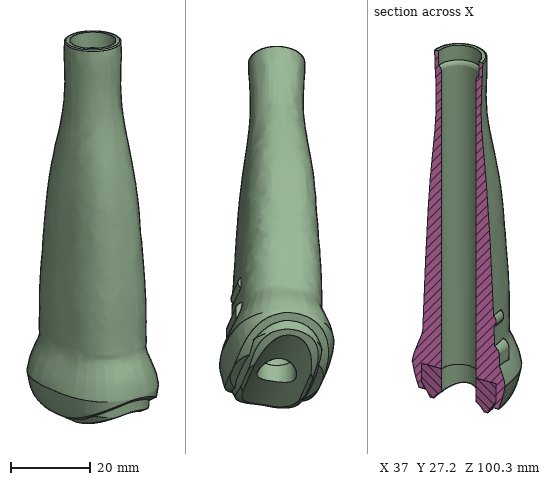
import cadquery as cq
import math

TOTAL_HEIGHT = 100.3
SHANK_BOTTOM = 20.5
WIDEST_LEVEL = 9.0
SKIRT_BOTTOM = 1.9

NECK_EXPONENT = 2.0
SHANK_EXPONENT = 2.8
BULB_EXPONENT = 2.45
POINTS_PER_QUARTER = 8

BULB_HALF_WIDTH = 18.5
BULB_HALF_DEPTH = 13.6
NECK_RADIUS = 7.1
SHANK_BOTTOM_SECTION = (SHANK_BOTTOM, 15.3, 10.5, 2.6)
WIDEST_SECTION = (WIDEST_LEVEL, BULB_HALF_WIDTH, BULB_HALF_DEPTH, BULB_EXPONENT)
SHANK_SECTIONS = [
    SHANK_BOTTOM_SECTION,
    (30.1, 15.0, 10.2, SHANK_EXPONENT),
    (40.1, 14.4, 9.7, SHANK_EXPONENT),
    (50.2, 13.5, 9.2, SHANK_EXPONENT),
    (60.2, 12.3, 8.6, SHANK_EXPONENT),
    (73.2, 9.8, 7.4, 2.5),
    (86.3, 7.6, 6.6, 2.1),
    (TOTAL_HEIGHT, NECK_RADIUS, NECK_RADIUS, NECK_EXPONENT),
]
BULB_SECTIONS = [
    WIDEST_SECTION,
    (12.0, 18.1, 12.9, BULB_EXPONENT),
    (16.1, 16.6, 11.3, BULB_EXPONENT),
    (18.1, 15.7, 10.7, BULB_EXPONENT),
    SHANK_BOTTOM_SECTION,
]
SKIRT_BOTTOM_HALF_DEPTH = 11.6
SKIRT_SECTIONS = [
    (SKIRT_BOTTOM, 16.7, SKIRT_BOTTOM_HALF_DEPTH, BULB_EXPONENT),
    (5.0, 17.9, 12.7, BULB_EXPONENT),
    WIDEST_SECTION,
]

SADDLE_AXIS_LEVEL = -4.8
HOUSING_RIM_RADIUS = 13.4
HOUSING_RIM_HALF_WIDTH = 18.3
LINER_RIM_RADIUS = 9.6
LINER_SADDLE_RADIUS = 8.8

LINER_TOP = WIDEST_LEVEL
LINER_SHOULDER = 4.0
LINER_HALF_WIDTH = 16.8
LINER_HALF_DEPTH = 10.8
LINER_TIP_HALF_DEPTH = 8.4
LINER_SHOULDER_SECTION = (LINER_SHOULDER, LINER_HALF_WIDTH, LINER_HALF_DEPTH, BULB_EXPONENT)
LINER_TIP_SECTION = (0.0, LINER_HALF_WIDTH, LINER_TIP_HALF_DEPTH, BULB_EXPONENT)

BORE_RADIUS = 5.0
SOCKET_RADIUS = 5.8
SOCKET_DEPTH = 4.2
LEAD_IN_LENGTH = 2.0
NECK_CHAMFER = 0.3

GRIP_ROOT = 9.0
STOP_HALF_WIDTH = 4.7
STOP_BOTTOM = 14.0
STOP_TOP = 20.1
STOP_REACH = 11.9
STOP_SHOULDER = 17.9
RIDGE_HALF_WIDTH = 3.6
RIDGE_BOTTOM = 24.5
RIDGE_TOP = 29.1
RIDGE_REACH = 11.0


def superellipse_point(half_width, half_depth, exponent, angle):
    c = math.cos(angle)
    s = math.sin(angle)
    x = half_width * math.copysign(abs(c) ** (2 / exponent), c)
    y = half_depth * math.copysign(abs(s) ** (2 / exponent), s)
    return x, y


def quartered_wire(level, point_at):
    """Closed wire of four splines, one per quarter, square to the X and Y axes."""
    quarter = math.pi / 2
    edges = []
    for q in range(4):
        angles = [quarter * (q + i / POINTS_PER_QUARTER) for i in range(POINTS_PER_QUARTER + 1)]
        points = [cq.Vector(*point_at(angle), level) for angle in angles]
        tangents = [cq.Vector(-round(math.sin(a)), round(math.cos(a)), 0) for a in (angles[0], angles[-1])]
        edges.append(cq.Edge.makeSpline(points, tangents=tangents))
    return cq.Wire.assembleEdges(edges)


def section_wire(level, half_width, half_depth, exponent):
    return quartered_wire(level, lambda angle: superellipse_point(half_width, half_depth, exponent, angle))


def lofted(sections):
    return cq.Workplane(cq.Solid.makeLoft([section_wire(*s) for s in sections]))


def rim_cone(rim_radius, half_width, half_depth):
    """Cone from the saddle axis through a rim that follows both the outline and the saddle arch."""
    cone_top = LINER_TOP - SADDLE_AXIS_LEVEL

    def cone_point(height, angle):
        x, y = superellipse_point(half_width, half_depth, BULB_EXPONENT, angle)
        spread = height / math.sqrt(rim_radius**2 - y**2)
        return x * spread, y * spread

    cone_bottom = cone_top / 10
    wires = [
        quartered_wire(SADDLE_AXIS_LEVEL + height, lambda a, h=height: cone_point(h, a))
        for height in (cone_bottom, cone_top)
    ]
    return cq.Workplane(cq.Solid.makeLoft(wires, True))


def bore():
    return cq.Workplane().circle(BORE_RADIUS).extrude(TOTAL_HEIGHT)


def liner_blank():
    tip = lofted([LINER_TIP_SECTION, LINER_SHOULDER_SECTION])
    plug = cq.Workplane(section_wire(*LINER_SHOULDER_SECTION)).toPending().extrude(LINER_TOP - LINER_SHOULDER)
    return tip.union(plug)


def stop_grip():
    """Block with a rounded upper shoulder, blending into the bulb below."""
    rise = STOP_TOP - STOP_SHOULDER
    run = STOP_REACH - GRIP_ROOT
    middle = (GRIP_ROOT + run * math.sqrt(0.5), STOP_SHOULDER + rise * math.sqrt(0.5))
    return (
        cq.Workplane("YZ")
        .moveTo(GRIP_ROOT, STOP_BOTTOM)
        .lineTo(STOP_REACH, STOP_BOTTOM)
        .lineTo(STOP_REACH, STOP_SHOULDER)
        .threePointArc(middle, (GRIP_ROOT, STOP_TOP))
        .close()
        .extrude(STOP_HALF_WIDTH, both=True)
    )


def ridge_grip():
    """Low ridge with an arched crest running along X."""
    return (
        cq.Workplane("YZ")
        .moveTo(GRIP_ROOT, RIDGE_BOTTOM)
        .threePointArc((RIDGE_REACH, (RIDGE_BOTTOM + RIDGE_TOP) / 2), (GRIP_ROOT, RIDGE_TOP))
        .close()
        .extrude(RIDGE_HALF_WIDTH, both=True)
    )


def neck_socket():
    floor = TOTAL_HEIGHT - SOCKET_DEPTH
    lead_in_end = floor - LEAD_IN_LENGTH
    bend = 1 - math.sqrt(0.5)
    lead_in_middle = (BORE_RADIUS + (SOCKET_RADIUS - BORE_RADIUS) * bend, floor - LEAD_IN_LENGTH * bend)
    return (
        cq.Workplane("XZ")
        .moveTo(0, TOTAL_HEIGHT)
        .lineTo(SOCKET_RADIUS, TOTAL_HEIGHT)
        .lineTo(SOCKET_RADIUS, floor)
        .threePointArc(lead_in_middle, (BORE_RADIUS, lead_in_end))
        .lineTo(0, lead_in_end)
        .close()
        .revolve(360, (0, 0), (0, 1))
    )


def make_housing():
    shank = lofted(SHANK_SECTIONS).faces(">Z").edges().chamfer(NECK_CHAMFER)
    skirt = lofted(SKIRT_SECTIONS).intersect(
        rim_cone(HOUSING_RIM_RADIUS, HOUSING_RIM_HALF_WIDTH, SKIRT_BOTTOM_HALF_DEPTH)
    )
    body = shank.union(lofted(BULB_SECTIONS)).union(skirt).union(stop_grip()).union(ridge_grip())
    return body.cut(liner_blank()).cut(bore()).cut(neck_socket())


def make_liner():
    saddle = (
        cq.Workplane("YZ")
        .center(0, SADDLE_AXIS_LEVEL)
        .circle(LINER_SADDLE_RADIUS)
        .extrude(BULB_HALF_WIDTH, both=True)
    )
    rim = rim_cone(LINER_RIM_RADIUS, LINER_HALF_WIDTH, LINER_TIP_HALF_DEPTH)
    return liner_blank().intersect(rim).cut(saddle).cut(bore())


housing = make_housing()
liner = make_liner()
result = cq.Compound.makeCompound([housing.solids().val(), liner.solids().val()])